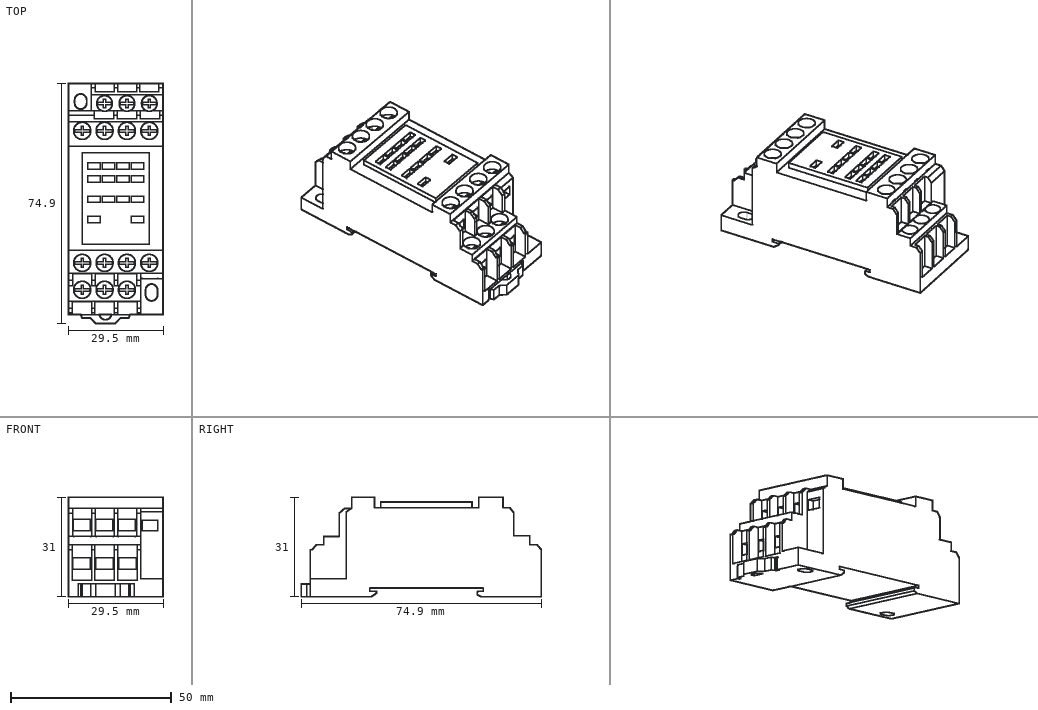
import cadquery as cq


width = 29.5
height = 31.0
half_width = width / 2
front_face = 2.85
rear_face = 74.9

deck = 27.8
front_shelf = 27.55
front_ledge = 18.8
rear_ledge = 19.0
low_shelf = 16.25
low_corner = 14.7
front_foot = 5.6
rear_foot = 5.0
pocket_floor = 5.2

front_low_ridge = 7.05
front_upper_wall = 11.8
front_block = 14.1
front_ridge = (15.7, 22.9)
rear_ridge = (55.35, 62.9)
rear_upper_wall = 66.3
rear_low_ridge = 71.3

rail_slot = (21.4, 56.7)
rail_slot_top = 2.7
hook_top = 1.8
front_hook_tip = 23.5
rear_hook_tip = 54.8

front_foot_edge = 7.8
rear_foot_edge = -7.6
block_chamfer = (front_ridge[0] - front_block, 1.1)
slot_width = 3.7
front_slot = (11.15, 9.7, 5.2)
rear_slot = (-10.9, 69.2, 4.65)

front_upper_pockets = (-3.45, 7.0, 5.9)
front_lower_pockets = (-3.45, 7.1, 6.1)
rear_upper_pockets = (3.5, 7.1, 6.1)
rear_lower_pockets = (3.5, 7.0, 5.9)
wall_step = 0.15
upper_wall = front_ridge[0] - wall_step
lower_wall = front_low_ridge - wall_step
rear_upper_inner = 63.8
rear_lower_inner = 72.2
upper_openings = (-3.6, 7.05, 5.25)
lower_openings = (-3.5, 7.1, 5.5)
upper_opening_z = (20.5, 24.1)
lower_opening_z = (8.55, 12.1)
single_opening_x = (8.25, 13.0)
single_opening_z = (20.5, 23.9)
opening_depth = 2.25

screw_pitch = 7.0
large_screw = 5.3
small_screw = 4.9
front_ridge_screw_y = 18.95
rear_ridge_screw_y = 60.05
front_ledge_screw_y = 10.55
rear_ledge_screw_y = 68.6
screw_depth = 3.15
cross_groove = 0.75
cross_length = 4.65
small_cross_length = 4.2
cross_height = 2.8
cross_depth = 0.4

panel_width = 21.0
panel_span = (24.8, 53.3)
panel_top = 29.6
window_size = (4.0, 1.95)
window_pitch = 4.5
window_depth = 1.8
full_rows = (38.8, 45.1, 49.1)
end_row = 32.4

tab_height = 4.05
tab_recess_x = (-11.6, 5.8)
tab_recess_depth = 0.75
tab_centre = -3.2
tab_hole = 3.75
tab_hole_y = 3.15
tab_shoulder_y = 1.7
tab_tip_half = 3.0
tab_neck_half = 4.65
tab_shoulder_half = 7.3
tab_root_half = 7.7


def block(x_span, y_span, z_span):
    size = [end - start for start, end in (x_span, y_span, z_span)]
    corner = (x_span[0], y_span[0], z_span[0])
    return cq.Workplane("XY").box(*size, centered=False).translate(corner)


def around(centre, size):
    return (centre - size / 2, centre + size / 2)


def row(count, pitch, centre=0.0):
    return [centre + (i - (count - 1) / 2) * pitch for i in range(count)]


def housing():
    profile = [
        (front_face, 0),
        (21.95, 0), (front_hook_tip, 1.1), (front_hook_tip, hook_top),
        (rail_slot[0], hook_top), (rail_slot[0], rail_slot_top),
        (rail_slot[1], rail_slot_top), (rail_slot[1], hook_top),
        (55.6, hook_top), (rear_hook_tip, 1.6), (rear_hook_tip, 0.7), (56.0, 0),
        (rear_face, 0), (rear_face, low_corner), (73.5, low_shelf),
        (rear_low_ridge, low_shelf), (rear_low_ridge, rear_ledge),
        (rear_upper_wall, rear_ledge), (rear_upper_wall, 26.2), (65.0, deck),
        (rear_ridge[1], deck), (rear_ridge[1], height),
        (rear_ridge[0], height), (rear_ridge[0], deck),
        (front_ridge[1], deck), (front_ridge[1], height),
        (front_ridge[0], height), (front_ridge[0], front_shelf),
        (13.55, front_shelf), (front_upper_wall, 26.0),
        (front_upper_wall, front_ledge), (front_low_ridge, front_ledge),
        (front_low_ridge, low_shelf), (4.8, low_shelf),
        (3.45, low_corner), (front_face, low_corner),
    ]
    return cq.Workplane("YZ").polyline(profile).close().extrude(half_width, both=True)


def foot_slot(x, y, slot_length):
    return cq.Workplane("XY").center(x, y).slot2D(slot_length, slot_width, 90).extrude(height)


def front_foot_cut():
    run, drop = block_chamfer
    profile = [
        (0, front_foot), (front_block, front_foot), (front_block, front_shelf - drop),
        (front_block + run, front_shelf), (front_block + run, height), (0, height),
    ]
    cut = cq.Workplane("YZ").workplane(offset=front_foot_edge).polyline(profile).close()
    return cut.extrude(half_width - front_foot_edge).union(foot_slot(*front_slot))


def rear_foot_cut():
    cut = block((-half_width, rear_foot_edge), (rear_upper_wall, rear_face), (rear_foot, height))
    return cut.union(foot_slot(*rear_slot))


def three_boxes(columns, y_span, z_span):
    centre, pitch, box_width = columns
    cut = cq.Workplane("XY")
    for x in row(3, pitch, centre):
        cut = cut.union(block(around(x, box_width), y_span, z_span))
    return cut


def wire_pockets():
    upper_front = three_boxes(front_upper_pockets, (front_face, upper_wall), (front_ledge, height))
    lower_front = three_boxes(front_lower_pockets, (front_face, lower_wall), (pocket_floor, low_shelf))
    upper_rear = three_boxes(rear_upper_pockets, (rear_upper_inner, rear_upper_wall), (front_ledge, deck))
    lower_rear = three_boxes(rear_lower_pockets, (rear_lower_inner, rear_face), (pocket_floor, low_shelf))
    return upper_front.union(lower_front).union(upper_rear).union(lower_rear)


def terminal_openings():
    upper = three_boxes(upper_openings, (upper_wall, upper_wall + opening_depth), upper_opening_z)
    lower = three_boxes(lower_openings, (lower_wall, lower_wall + opening_depth), lower_opening_z)
    single = block(single_opening_x, (front_block, front_block + opening_depth), single_opening_z)
    return upper.union(lower).union(single)


def screw(x, y, top, diameter, slot_length):
    floor = top - screw_depth
    hole = cq.Workplane("XY").circle(diameter / 2).extrude(screw_depth)
    groove = cq.Workplane("XY").rect(slot_length, cross_groove).extrude(-cross_depth)
    upright = cq.Workplane("XY").rect(cross_groove, cross_height).extrude(-cross_depth)
    return hole.union(groove).union(upright).translate((x, y, floor))


def screws():
    four = row(4, screw_pitch)
    rows = [
        (four, front_ridge_screw_y, height, large_screw, cross_length),
        (four, rear_ridge_screw_y, height, large_screw, cross_length),
        (four[:3], front_ledge_screw_y, front_ledge, large_screw, cross_length),
        (four[1:], rear_ledge_screw_y, rear_ledge, small_screw, small_cross_length),
    ]
    cut = cq.Workplane("XY")
    for positions, y, top, diameter, slot_length in rows:
        for x in positions:
            cut = cut.union(screw(x, y, top, diameter, slot_length))
    return cut


def panel():
    return block(around(0, panel_width), panel_span, (deck, panel_top))


def panel_windows():
    columns = row(4, window_pitch)
    points = [(x, y) for y in full_rows for x in columns]
    points += [(columns[0], end_row), (columns[-1], end_row)]
    windows = cq.Workplane("XY").workplane(offset=panel_top).pushPoints(points)
    return windows.rect(*window_size).extrude(-window_depth)


def tab():
    root_y = front_face + tab_recess_depth
    half = [
        (tab_tip_half, 0), (tab_neck_half, tab_shoulder_y),
        (tab_shoulder_half, tab_shoulder_y), (tab_root_half, front_face), (tab_root_half, root_y),
    ]
    outline = [(tab_centre + x, y) for x, y in half]
    outline += [(tab_centre - x, y) for x, y in reversed(half)]
    body = cq.Workplane("XY").polyline(outline).close().extrude(tab_height)
    hole = cq.Workplane("XY").center(tab_centre, tab_hole_y).circle(tab_hole / 2).extrude(tab_height)
    return body.cut(hole)


def tab_recess():
    return block(tab_recess_x, (front_face, front_face + tab_recess_depth), (0, tab_height))


result = (
    housing()
    .cut(front_foot_cut())
    .cut(rear_foot_cut())
    .cut(wire_pockets())
    .cut(terminal_openings())
    .cut(screws())
    .union(panel())
    .cut(panel_windows())
    .cut(tab_recess())
    .union(tab())
)